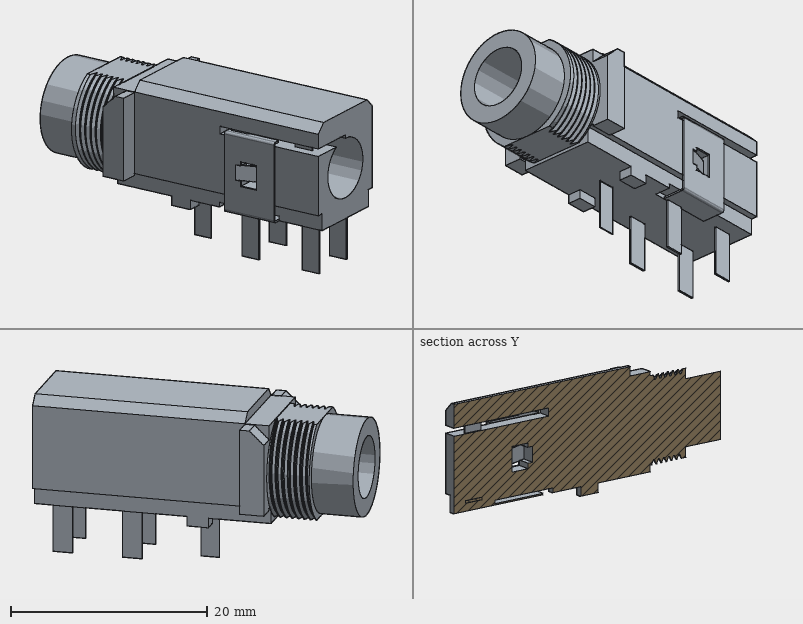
import cadquery as cq
import math


LENGTH = 34.0
HALF_WIDTH = 5.0
FOOT_HALF_WIDTH = 4.3
TOP = 6.2
BOTTOM = -5.5
FOOT_TOP = -3.67
TOP_CHAMFER = 1.0
BORE_RADIUS = 3.23

NOSE_RADIUS = 5.15
NECK_START = 4.42
THREAD_RADIUS = 6.0
THREAD_PITCH = 0.65
THREAD_DEPTH = 0.37
THREAD_TURNS = 6.5
THREAD_START = 4.7
GROOVE_HALF_ANGLE = 30.0
GROOVE_ROOT_WIDTH = 0.1
GROOVE_OVERSHOOT = 0.07

COLLAR_START = 8.95
COLLAR_END = 11.5
COLLAR_TOP = TOP - TOP_CHAMFER
EAR_HALF_SPAN = 7.0
EAR_BOTTOM = -3.88
EAR_TOP = NOSE_RADIUS
EAR_CHAMFER_LENGTH = 1.53
EAR_CHAMFER_DROP = 1.43

STANDOFF_LENGTH = 2.28
STANDOFF_INNER = 2.72
STANDOFF_BOTTOM = -6.53

SHEET = 0.2
LEG_BOTTOM = -11.0
LEG_WIDTH = 2.07
LEG_OUTER = 2.62
LEG_INNER = LEG_OUTER - SHEET
FRONT_LEG_START = 23.05
REAR_LEG_START = 30.43

CENTRE_LEG_START = 15.57
CENTRE_LEG_WIDTH = 1.97
CENTRE_LEG_THICKNESS = 0.1
CENTRE_LEG_SEAT = 0.68

SLOT_START = 21.95
SLOT_FLOOR = 2.8
SLOT_CEILING = 3.6

SHELF_TOP = -4.4
BLADE_OUTER = 3.9
BLADE_INNER = BLADE_OUTER - SHEET

CLIP_START = 22.65
CLIP_END = 28.73
CLIP_TOP = 3.25
CLIP_OUTER = HALF_WIDTH + SHEET
CLIP_BEND = 0.27
CLIP_TAIL_REACH = 0.85
RELIEF_START = 21.42
RELIEF_TOP = -5.0

WINDOW_STEP = 24.58
WINDOW_END = 26.55
WINDOW_TOP = 0.35
WINDOW_BOTTOM = -2.35
TONGUE_START = 24.0
TONGUE_END = 26.5
TONGUE_TOP = -0.1
TONGUE_BOTTOM = -1.77
TONGUE_DEPTH = 0.8


def block(x0, x1, y0, y1, z0, z1):
    """Box between two opposite corners."""
    return cq.Workplane("XY").box(x1 - x0, y1 - y0, z1 - z0, centered=False).translate((x0, y0, z0))


def rod(x0, x1, radius):
    """Cylinder on the plug axis."""
    return cq.Workplane("YZ").workplane(offset=x0).circle(radius).extrude(x1 - x0)


def along_x(points, x0, x1):
    """Closed outline of (Y, Z) points extruded along X."""
    return cq.Workplane("YZ").workplane(offset=x0).polyline(points).close().extrude(x1 - x0)


def thread_groove():
    """Right-handed groove with sloped flanks, wound around the plug axis."""
    height = THREAD_PITCH * THREAD_TURNS
    root = THREAD_RADIUS - THREAD_DEPTH
    mouth = THREAD_RADIUS + GROOVE_OVERSHOOT
    half_root = GROOVE_ROOT_WIDTH / 2
    half_mouth = half_root + (mouth - root) * math.tan(math.radians(GROOVE_HALF_ANGLE))
    helix = cq.Wire.makeHelix(THREAD_PITCH, height, root)
    groove = (
        cq.Workplane("XZ")
        .polyline([(root, -half_root), (mouth, -half_mouth), (mouth, half_mouth), (root, half_root)])
        .close()
        .sweep(cq.Workplane(obj=helix), isFrenet=True)
    )
    return groove.rotate((0, 0, 0), (0, 1, 0), 90).translate((THREAD_START, 0, 0))


def make_neck():
    """Threaded neck with a flat above and below."""
    neck = rod(NECK_START, COLLAR_START, THREAD_RADIUS).cut(thread_groove())
    flats = block(
        NECK_START, COLLAR_START, -THREAD_RADIUS, THREAD_RADIUS, -NOSE_RADIUS, NOSE_RADIUS
    )
    return neck.intersect(flats)


def make_collar():
    """Collar core and ears, with the ears' upper front edges cut back."""
    core = block(COLLAR_START, COLLAR_END, -HALF_WIDTH, HALF_WIDTH, FOOT_TOP, COLLAR_TOP)
    ears = (
        cq.Workplane("XZ", origin=(0, EAR_HALF_SPAN, 0))
        .polyline(
            [
                (COLLAR_START, EAR_BOTTOM),
                (COLLAR_END, EAR_BOTTOM),
                (COLLAR_END, EAR_TOP),
                (COLLAR_START + EAR_CHAMFER_LENGTH, EAR_TOP),
                (COLLAR_START, EAR_TOP - EAR_CHAMFER_DROP),
            ]
        )
        .close()
        .extrude(2 * EAR_HALF_SPAN)
    )
    gap = block(COLLAR_START, COLLAR_END, -HALF_WIDTH, HALF_WIDTH, EAR_BOTTOM, COLLAR_TOP)
    return core.union(ears.cut(gap))


def make_body():
    """Main block: chamfered top, narrow foot and two standoffs."""
    upper = along_x(
        [
            (-HALF_WIDTH, FOOT_TOP),
            (HALF_WIDTH, FOOT_TOP),
            (HALF_WIDTH, COLLAR_TOP),
            (HALF_WIDTH - TOP_CHAMFER, TOP),
            (TOP_CHAMFER - HALF_WIDTH, TOP),
            (-HALF_WIDTH, COLLAR_TOP),
        ],
        COLLAR_END,
        LENGTH,
    )
    body = upper.union(
        block(COLLAR_START, LENGTH, -FOOT_HALF_WIDTH, FOOT_HALF_WIDTH, BOTTOM, FOOT_TOP)
    )
    standoff_end = CENTRE_LEG_START + STANDOFF_LENGTH
    for y0 in (-FOOT_HALF_WIDTH, STANDOFF_INNER):
        y1 = y0 + FOOT_HALF_WIDTH - STANDOFF_INNER
        body = body.union(block(CENTRE_LEG_START, standoff_end, y0, y1, STANDOFF_BOTTOM, BOTTOM))
    return body


def clip_window(y_inner):
    """Window opening from the outer face of the clip to a depth y_inner."""
    main = block(WINDOW_STEP, WINDOW_END, -CLIP_OUTER, y_inner, WINDOW_BOTTOM, WINDOW_TOP)
    hinge_side = block(TONGUE_START, WINDOW_STEP, -CLIP_OUTER, y_inner, TONGUE_BOTTOM, TONGUE_TOP)
    return main.union(hinge_side)


def make_tongue():
    """Strip of the clip bent inward about the front edge of the window."""
    return (
        cq.Workplane("XY", origin=(0, 0, TONGUE_BOTTOM))
        .polyline(
            [
                (TONGUE_START, -CLIP_OUTER),
                (TONGUE_END, TONGUE_DEPTH - CLIP_OUTER),
                (TONGUE_END, TONGUE_DEPTH - HALF_WIDTH),
                (TONGUE_START, -HALF_WIDTH),
            ]
        )
        .close()
        .extrude(TONGUE_TOP - TONGUE_BOTTOM)
    )


def make_housing(inserts):
    """Housing with its bore, side slot and a matching seat for each insert."""
    nose = rod(0, NECK_START, NOSE_RADIUS)
    housing = make_body().union(make_collar()).union(make_neck()).union(nose)
    housing = housing.cut(rod(0, LENGTH, BORE_RADIUS))
    housing = housing.cut(block(SLOT_START, LENGTH, -HALF_WIDTH, 0, SLOT_FLOOR, SLOT_CEILING))
    housing = housing.cut(
        block(RELIEF_START, CLIP_END, -FOOT_HALF_WIDTH, -LEG_INNER, BOTTOM, RELIEF_TOP)
    )
    housing = housing.cut(clip_window(0))
    for insert in inserts:
        housing = housing.cut(insert)
    return housing


def make_centre_leg():
    """Thin flat leg on the mid plane, seated in the floor of the housing."""
    half = CENTRE_LEG_THICKNESS / 2
    end = CENTRE_LEG_START + CENTRE_LEG_WIDTH
    return block(CENTRE_LEG_START, end, -half, half, LEG_BOTTOM, BOTTOM + CENTRE_LEG_SEAT)


def make_contact(start, side):
    """Stepped contact: leg, shelf and upright blade. Side is -1 or 1 along Y."""
    outline = [
        (LEG_INNER, LEG_BOTTOM),
        (LEG_OUTER, LEG_BOTTOM),
        (LEG_OUTER, SHELF_TOP - SHEET),
        (BLADE_OUTER, SHELF_TOP - SHEET),
        (BLADE_OUTER, SLOT_CEILING),
        (BLADE_INNER, SLOT_CEILING),
        (BLADE_INNER, SHELF_TOP),
        (LEG_INNER, SHELF_TOP),
    ]
    return along_x([(side * y, z) for y, z in outline], start, start + LEG_WIDTH)


def make_clip():
    """Side plate with a tail and tab in the slot, a tongue, and a leg under its bottom shelf."""
    tail_end = CLIP_TAIL_REACH - CLIP_OUTER
    shelf_top = BOTTOM + SHEET
    plate = (
        along_x(
            [
                (-CLIP_OUTER, BOTTOM),
                (-LEG_INNER, BOTTOM),
                (-LEG_INNER, shelf_top),
                (-HALF_WIDTH, shelf_top),
                (-HALF_WIDTH, CLIP_TOP - SHEET),
                (tail_end, CLIP_TOP - SHEET),
                (tail_end, CLIP_TOP),
                (-CLIP_OUTER, CLIP_TOP),
            ],
            CLIP_START,
            CLIP_END,
        )
        .edges("|X and <Y")
        .fillet(CLIP_BEND)
    )
    leg_end = FRONT_LEG_START + LEG_WIDTH
    leg = block(FRONT_LEG_START, leg_end, -LEG_OUTER, -LEG_INNER, LEG_BOTTOM, BOTTOM)
    tab = block(FRONT_LEG_START, leg_end, tail_end - SHEET, tail_end, CLIP_TOP, SLOT_CEILING)
    opened_plate = plate.cut(clip_window(-HALF_WIDTH))
    return opened_plate.union(leg).union(tab).union(make_tongue())


clip = make_clip()
centre_leg = make_centre_leg()
contact_places = [(REAR_LEG_START, -1), (FRONT_LEG_START, 1), (REAR_LEG_START, 1)]
contacts = [make_contact(start, side) for start, side in contact_places]
housing = make_housing([centre_leg, *contacts])

result = cq.Compound.makeCompound(
    [housing.val(), clip.val(), centre_leg.val(), *[contact.val() for contact in contacts]]
)